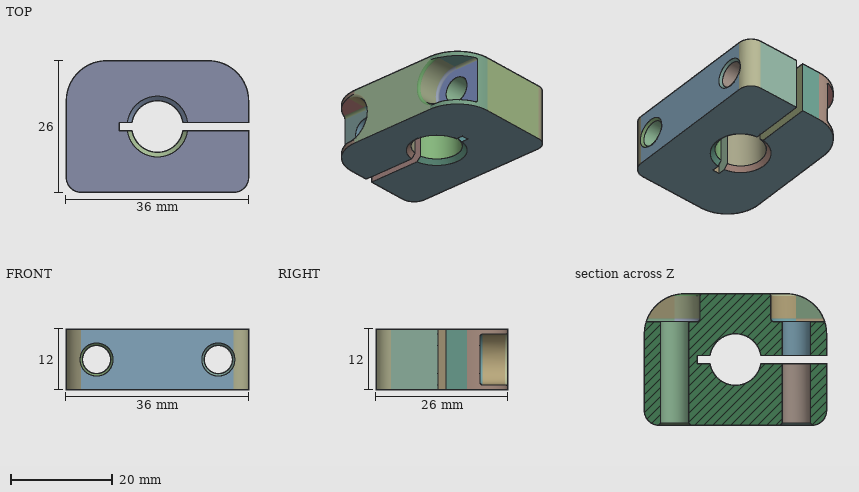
import cadquery as cq

length = 36.0
width = 26.0
height = 12.0
front_corner_radius = 3.0
back_corner_radius = 8.0

bore_diameter = 10.1
bore_chamfer = 0.95
slit_width = 1.6
slit_reach = 7.52

screw_diameter = 5.5
screw_chamfer = 0.5
screw_offset = length / 3
recess_diameter = 10.0
recess_depth = 5.5
recess_fillet = 0.5


def make_box():
    return cq.Workplane("XY").box(length, width, height)


def make_rounded_outline():
    outline = make_box().edges("|Z and <Y").fillet(front_corner_radius)
    return outline.edges("|Z and >Y").fillet(back_corner_radius)


def make_bore():
    """Through bore, chamfered at both ends."""
    radius = bore_diameter / 2
    mouth_radius = radius + bore_chamfer
    top = height / 2
    profile = [
        (0, -top),
        (mouth_radius, -top),
        (radius, -top + bore_chamfer),
        (radius, top - bore_chamfer),
        (mouth_radius, top),
        (0, top),
    ]
    return cq.Workplane("XZ").polyline(profile).close().revolve(360, (0, 0), (0, 1))


def make_slit():
    slit_length = slit_reach + length / 2
    slit = cq.Workplane("XY").box(slit_length, slit_width, height, centered=(False, True, True))
    return slit.translate((-slit_reach, 0, 0))


def make_screw_hole(side):
    """Screw hole with a chamfered front mouth; side is -1 or +1 along X."""
    front = cq.Workplane("XZ", origin=(side * screw_offset, -width / 2, 0))
    hole = front.circle(screw_diameter / 2).extrude(-width)
    mouth = front.circle(screw_diameter / 2 + screw_chamfer).workplane(offset=-screw_chamfer)
    return hole.union(mouth.circle(screw_diameter / 2).loft())


def make_head_recess(side):
    """Recess with a round inner end, open through the outer corner of the block."""
    radius = recess_diameter / 2
    x_screw = side * screw_offset
    x_outer = side * length
    recess = (
        cq.Workplane("XZ", origin=(0, width / 2, 0))
        .moveTo(x_outer, radius)
        .lineTo(x_screw, radius)
        .threePointArc((x_screw - side * radius, 0), (x_screw, -radius))
        .lineTo(x_outer, -radius)
        .close()
        .extrude(recess_depth)
    )
    return recess.faces("<Y").edges().fillet(recess_fillet)


result = make_box()
for side in (-1, 1):
    result = result.cut(make_head_recess(side))
result = result.faces(">Y").edges("%CIRCLE").fillet(recess_fillet)
result = result.intersect(make_rounded_outline())

for side in (-1, 1):
    result = result.cut(make_screw_hole(side))
result = result.cut(make_bore()).cut(make_slit())